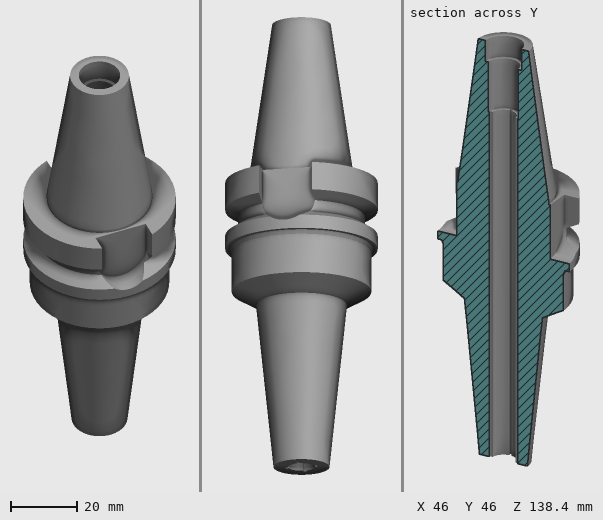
import cadquery as cq

length = 138.4
gauge_height = 90.0
flange_top = 89.0
groove_top = 80.4
groove_floor_top = 78.2
groove_floor_bottom = 74.9
groove_bottom = 72.4
flange_bottom = 68.2
body_top = 67.0
body_bottom = 55.0
nose_top = 50.7

flange_radius = 23.0
groove_radius = 19.1
body_radius = 21.0
nose_top_radius = 13.7
nose_tip_radius = 8.5
gauge_radius = 15.9
taper_rate = 7 / 24
taper_end_radius = gauge_radius - taper_rate / 2 * (length - gauge_height)
flange_relief_radius = 21.6

bore_radius = 4.0
thread_radius = 5.1
thread_end_depth = 23.5
counterbore_radius = 6.2
counterbore_depth = 6.9

coolant_groove_width = 1.0
coolant_groove_reach = 4.8

slot_width = 16.3
slot_depth = 18.0
slot_floor_offset = 16.3


def make_body():
    """Revolve the holder outline about Z."""
    outline = [
        (0, 0),
        (nose_tip_radius, 0),
        (nose_top_radius, nose_top),
        (body_radius, body_bottom),
        (body_radius, body_top),
        (flange_relief_radius, flange_bottom),
        (flange_radius, flange_bottom),
        (flange_radius, groove_bottom),
        (groove_radius, groove_floor_bottom),
        (groove_radius, groove_floor_top),
        (flange_radius, groove_top),
        (flange_radius, flange_top),
        (gauge_radius, flange_top),
        (gauge_radius, gauge_height),
        (taper_end_radius, length),
        (0, length),
    ]
    return cq.Workplane("YZ").polyline(outline).close().revolve(360, (0, 0), (0, 1))


def make_bore_step(radius, depth):
    """Cylinder entering the taper end to the given depth."""
    return cq.Workplane("XY").workplane(offset=length - depth).circle(radius).extrude(depth)


def make_coolant_grooves():
    """Two crossed slabs that leave four grooves in the bore wall."""
    span = 2 * coolant_groove_reach
    slab_along_x = cq.Workplane("XY").rect(span, coolant_groove_width).extrude(length)
    slab_along_y = cq.Workplane("XY").rect(coolant_groove_width, span).extrude(length)
    return slab_along_x.union(slab_along_y)


def make_drive_slot(side):
    """Round-ended slot open at the flange top; side is +1 for +X or -1 for -X."""
    slot_radius = slot_width / 2
    slot_bottom = flange_top - slot_depth
    arc_height = slot_bottom + slot_radius
    return (
        cq.Workplane("YZ", origin=(side * slot_floor_offset, 0, 0))
        .moveTo(-slot_radius, flange_top)
        .lineTo(-slot_radius, arc_height)
        .threePointArc((0, slot_bottom), (slot_radius, arc_height))
        .lineTo(slot_radius, flange_top)
        .close()
        .extrude(side * flange_radius)
    )


result = make_body()
for step_radius, step_depth in (
    (bore_radius, length),
    (thread_radius, thread_end_depth),
    (counterbore_radius, counterbore_depth),
):
    result = result.cut(make_bore_step(step_radius, step_depth))
result = result.cut(make_coolant_grooves())
for slot_side in (1, -1):
    result = result.cut(make_drive_slot(slot_side))